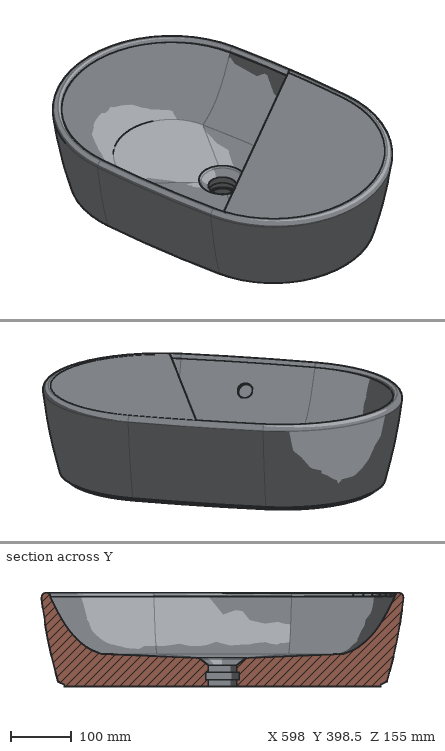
import cadquery as cq
import math

length = 598.0
width = 398.5
height = 155.0
half_width = width / 2

end_radius = 196.0
end_center = length / 2 - end_radius
side_radius = (end_center**2 + half_width**2 - end_radius**2) / (2 * (half_width - end_radius))
side_center = half_width - side_radius

rim_depth = 9.0
rim_inset = 15.0
rim_round = 8.5
rim_inner_round = 6.0
rim_base = height - rim_depth
mouth_depth = 6.5
mouth_base = height - mouth_depth

wall_bottom = 8.0
wall_bottom_inset = 27.5
outer_wall = [(0, rim_base), (11.0, 78.0), (wall_bottom_inset, wall_bottom)]
foot_inset = 37.5
foot_height = 3.0

floor_inset = 100.0
floor_edge = 54.0
bowl_wall = [(rim_inset, mouth_base), (32.0, 115.0), (56.0, 81.5), (floor_inset, floor_edge)]

seat_radius = 39.0
seat_top = 47.0
bevel_radius = 36.0
bevel_bottom = 45.0
drain_radius = 23.5
drain_top = 35.0
groove_radius = 27.5
groove_top = 23.5
groove_bottom = 11.5

overflow_radius = 12.5
overflow_depth = 7.0
overflow_center = (0, -162.5, 106.0)
overflow_tilt = math.radians(30)

plate_inset = rim_round
plate_thickness = 1.0
plate_cut_back = (0.0, 189.0)
plate_cut_front = (131.5, -182.0)


def four_arc_wire(corner, end, side, z):
    """Closed wire symmetric about X and Y through its end, side and corner points."""
    cx, cy = corner
    return (
        cq.Workplane("XY", origin=(0, 0, z))
        .moveTo(cx, -cy)
        .threePointArc((end, 0), (cx, cy))
        .threePointArc((0, side), (-cx, cy))
        .threePointArc((-end, 0), (-cx, -cy))
        .threePointArc((0, -side), (cx, -cy))
        .close()
        .val()
    )


def oval(inset, z):
    """Plan outline moved inwards by an inset."""
    radius = end_radius - inset
    angle = math.atan2(-side_center, end_center)
    corner = (end_center + radius * math.cos(angle), radius * math.sin(angle))
    return four_arc_wire(corner, length / 2 - inset, half_width - inset, z)


def split_circle(radius, z):
    """Circle split into four arcs, to pair with an oval."""
    corner = radius * math.sqrt(0.5)
    return four_arc_wire((corner, corner), radius, radius, z)


def loft(wires, ruled=False):
    return cq.Workplane(cq.Solid.makeLoft(wires, ruled))


def oval_prism(inset, bottom, top):
    return cq.Workplane(oval(inset, bottom)).toPending().extrude(top - bottom)


def body():
    wall = loft([oval(inset, z) for inset, z in outer_wall])
    rim = oval_prism(0, rim_base, height).faces(">Z").edges().fillet(rim_round)
    chamfer = loft([oval(wall_bottom_inset, wall_bottom), oval(foot_inset, foot_height)], True)
    foot = oval_prism(foot_inset, 0, foot_height)
    return wall.union(rim).union(chamfer).union(foot)


def bowl():
    wall = loft([oval(inset, z) for inset, z in bowl_wall])
    mouth = oval_prism(rim_inset, mouth_base, height)
    floor = loft([oval(floor_inset, floor_edge), split_circle(seat_radius, seat_top)], True)
    return wall.union(mouth).union(floor)


def drain():
    half_profile = [
        (0, seat_top),
        (seat_radius, seat_top),
        (bevel_radius, bevel_bottom),
        (drain_radius, drain_top),
        (drain_radius, groove_top),
        (groove_radius, groove_top),
        (groove_radius, groove_bottom),
        (drain_radius, groove_bottom),
        (drain_radius, 0),
        (0, 0),
    ]
    return cq.Workplane("XZ").polyline(half_profile).close().revolve(360, (0, 0), (0, 1))


def overflow():
    into_bowl = (0, math.cos(overflow_tilt), math.sin(overflow_tilt))
    wall_plane = cq.Plane(origin=overflow_center, xDir=(1, 0, 0), normal=into_bowl)
    return cq.Workplane(wall_plane).circle(overflow_radius).extrude(overflow_depth, both=True)


def plate():
    sheet = oval_prism(plate_inset, height - plate_thickness, height)
    keep = (
        cq.Workplane("XY")
        .polyline([plate_cut_back, plate_cut_front, (length, -width), (length, width), (0, width)])
        .close()
        .extrude(height)
    )
    return sheet.intersect(keep)


basin = body().cut(bowl()).cut(drain()).cut(overflow())
rim_inner_edge = basin.faces(">Z").wires(cq.selectors.LengthNthSelector(0)).edges()
basin = rim_inner_edge.fillet(rim_inner_round)
result = basin.union(plate())